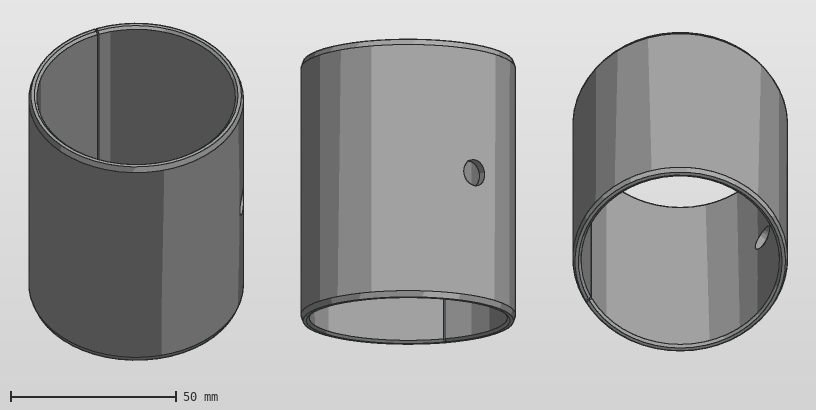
import cadquery as cq
import math

outer_diameter = 65.0
inner_diameter = 60.0
length = 80.0

outer_chamfer_length = 1.8
outer_chamfer_angle = 20.0
inner_chamfer = 0.8

joint_gap_angle = 1.0
joint_end_angle = 180.0
joint_start_angle = joint_end_angle - joint_gap_angle

oil_hole_diameter = 8.0
oil_hole_from_joint = 120.0
oil_hole_angle = joint_start_angle - oil_hole_from_joint

full_turn = 360.0
outer_radius = outer_diameter / 2
inner_radius = inner_diameter / 2
outer_chamfer_depth = outer_chamfer_length * math.tan(math.radians(outer_chamfer_angle))


def make_split_sleeve():
    """Revolve the chamfered wall section about Z, leaving the joint gap open."""
    half_length = length / 2
    section = [
        (inner_radius, half_length - inner_chamfer),
        (inner_radius + inner_chamfer, half_length),
        (outer_radius - outer_chamfer_depth, half_length),
        (outer_radius, half_length - outer_chamfer_length),
    ]
    mirrored_section = [(radius, -z) for radius, z in reversed(section)]
    return (
        cq.Workplane("XZ")
        .polyline(section + mirrored_section)
        .close()
        .revolve(full_turn - joint_gap_angle, (0, 0, 0), (0, 1, 0))
        .rotate((0, 0, 0), (0, 0, 1), joint_end_angle)
    )


def make_oil_hole():
    """Radial cylinder from the axis out through one side of the wall."""
    return (
        cq.Workplane("YZ")
        .circle(oil_hole_diameter / 2)
        .extrude(outer_diameter)
        .rotate((0, 0, 0), (0, 0, 1), oil_hole_angle)
    )


result = make_split_sleeve().cut(make_oil_hole())